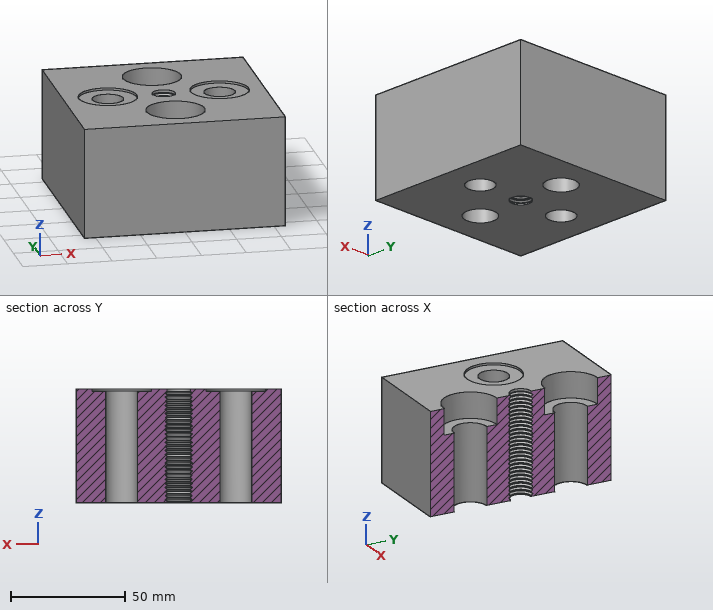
import cadquery as cq

block_side = 90.0
block_height = 50.0

hole_offset = 25.0
counterbore_diameter = 26.0
x_hole_diameter = 13.9
x_counterbore_depth = 1.0
y_hole_diameter = 16.0
y_counterbore_depth = 12.5

center_hole_diameter = 10.2
top_land = 1.2
groove_pitch = 1.8
groove_width = 1.4
groove_depth = 0.8


def make_block():
    """Plain square block resting on the XY plane."""
    return cq.Workplane("XY").box(block_side, block_side, block_height, centered=(True, True, False))


def cut_counterbored_pair(body, positions, hole_diameter, counterbore_depth):
    """Cut matching counterbored through holes down from the top face."""
    return (
        body.faces(">Z")
        .workplane(origin=(0, 0, block_height))
        .pushPoints(positions)
        .cboreHole(hole_diameter, counterbore_diameter, counterbore_depth)
    )


def center_hole_cutter():
    """Revolved cutter: a plain bore with equally spaced ring grooves below the top land."""
    bore_radius = center_hole_diameter / 2
    groove_radius = bore_radius + groove_depth
    groove_count = int((block_height - top_land) // groove_pitch)

    profile = cq.Workplane("XZ").moveTo(0, block_height).lineTo(bore_radius, block_height)
    for index in range(groove_count):
        groove_top = block_height - top_land - index * groove_pitch
        profile = (
            profile.lineTo(bore_radius, groove_top)
            .lineTo(groove_radius, groove_top - groove_width / 2)
            .lineTo(bore_radius, groove_top - groove_width)
        )
    profile = profile.lineTo(bore_radius, 0).lineTo(0, 0).close()
    return profile.revolve(360, (0, 0, 0), (0, 1, 0))


block = make_block()
block = cut_counterbored_pair(
    block, [(-hole_offset, 0), (hole_offset, 0)], x_hole_diameter, x_counterbore_depth
)
block = cut_counterbored_pair(
    block, [(0, -hole_offset), (0, hole_offset)], y_hole_diameter, y_counterbore_depth
)
result = block.cut(center_hole_cutter())